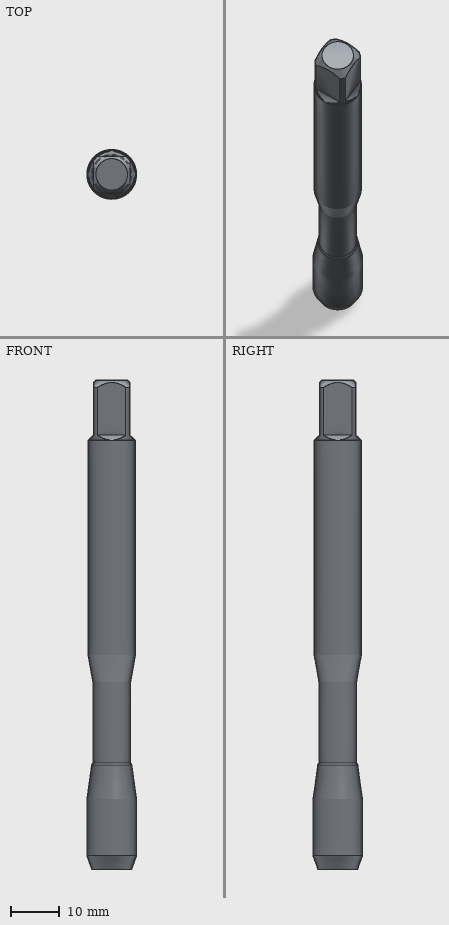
import cadquery as cq

total_length = 100.1

thread_diameter = 10.18
lead_tip_diameter = 8.1
lead_length = 2.85
thread_straight_end = 14.35
runout_diameter = 8.2
runout_bevel_height = 0.4
thread_length = 21.82

neck_diameter = 7.7
neck_end = 38.28
shank_diameter = 9.68
shank_start = 43.88

square_width = 7.4
square_corner_diameter = 9.36
square_flat_start = 88.85
shank_end = 87.9
tip_diameter = 6.45

shank_bevel = (shank_diameter - square_corner_diameter) / 2
tip_bevel = (square_corner_diameter - tip_diameter) / 2


def turned(stations):
    """Solid of revolution about Z through (diameter, height) stations."""
    outline = [(diameter / 2, height) for diameter, height in stations]
    outline = [(0, outline[0][1])] + outline + [(0, outline[-1][1])]
    return cq.Workplane("XZ").polyline(outline).close().revolve(360, (0, 0), (0, 1))


def make_thread():
    """Forming thread envelope with a tapered lead and a tapered run-out."""
    return turned([
        (lead_tip_diameter, 0),
        (thread_diameter, lead_length),
        (thread_diameter, thread_straight_end),
        (runout_diameter, thread_length - runout_bevel_height),
        (neck_diameter, thread_length),
    ])


def flat_cutter():
    """Material removed beside one flat: straight down, then sloping out at 45 degrees."""
    flat = square_width / 2
    outside = shank_diameter
    slope_rise = outside - flat
    return (
        cq.Workplane("XZ")
        .polyline([
            (flat, total_length),
            (flat, square_flat_start),
            (outside, square_flat_start - slope_rise),
            (outside, total_length),
        ])
        .close()
        .extrude(shank_diameter, both=True)
    )


def make_shank():
    """Neck, taper and shank with a four-sided drive square."""
    shank = turned([
        (neck_diameter, thread_length),
        (neck_diameter, neck_end),
        (shank_diameter, shank_start),
        (shank_diameter, shank_end - shank_bevel),
        (square_corner_diameter, shank_end),
        (square_corner_diameter, total_length - tip_bevel),
        (tip_diameter, total_length),
    ])
    cutter = flat_cutter()
    for side in range(4):
        shank = shank.cut(cutter.rotate((0, 0, 0), (0, 0, 1), 90 * side))
    return shank


thread = make_thread()
shank = make_shank()

result = cq.Compound.makeCompound([thread.val(), shank.val()])